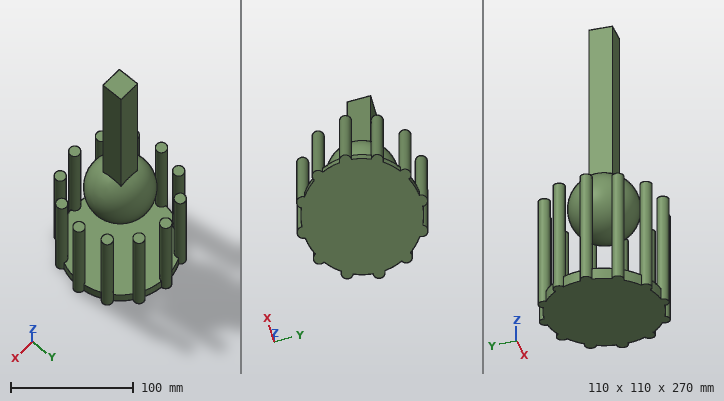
import cadquery as cq
import math

rod_diameter = 10.0
rod_height = 100.0
rod_count = 12
floor_radius = 50.0
floor_thickness = 10.0

ball_radius = 30.0
ball_center_height = rod_height
handle_width = 20.0
handle_top = 270.0


def make_rod(angle):
    """Upright rod on the floor's rim at the given angle in degrees."""
    x = floor_radius * math.cos(math.radians(angle))
    y = floor_radius * math.sin(math.radians(angle))
    return cq.Workplane("XY").center(x, y).circle(rod_diameter / 2).extrude(rod_height)


def make_cage():
    """Floor and rods joined into one solid."""
    cage = cq.Workplane("XY").circle(floor_radius).extrude(floor_thickness)
    for index in range(rod_count):
        cage = cage.union(make_rod(index * 360 / rod_count))
    return cage


def make_plunger():
    """Ball and handle joined into one solid, held clear of the cage."""
    ball = cq.Workplane("XY").sphere(ball_radius).translate((0, 0, ball_center_height))
    handle = (
        cq.Workplane("XY")
        .workplane(offset=ball_center_height)
        .rect(handle_width, handle_width)
        .extrude(handle_top - ball_center_height)
    )
    return ball.union(handle)


cage = make_cage()
plunger = make_plunger()

result = cq.Compound.makeCompound([cage.solids().val(), plunger.solids().val()])